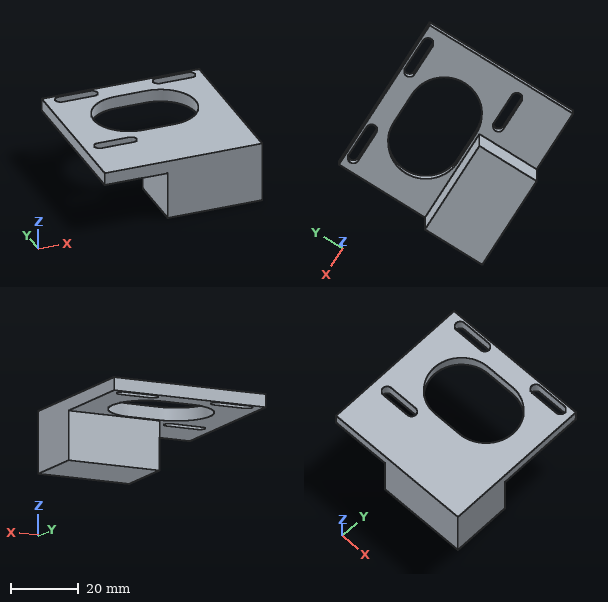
import cadquery as cq

plate_side = 50.0
plate_thickness = 4.0

block_length = 30.0
block_width = 20.0
block_height = 15.0

motor_x = 25.5
motor_y = 32.0
travel = 10.0
bore_diameter = 22.3
screw_diameter = 3.3
screw_spacing = 31.0


def slot_cutter(x, y, diameter):
    """Round-ended cutter along X that passes through the plate."""
    return (
        cq.Workplane("XY")
        .center(x, y)
        .slot2D(travel + diameter, diameter)
        .extrude(plate_thickness)
    )


plate = cq.Workplane("XY").box(plate_side, plate_side, plate_thickness, centered=False)

block = (
    cq.Workplane("XY")
    .box(block_length, block_width, block_height, centered=False)
    .translate((plate_side - block_length, 0, -block_height))
)

result = plate.union(block)
result = result.cut(slot_cutter(motor_x, motor_y, bore_diameter))

half_spacing = screw_spacing / 2
for side_x, side_y in [(-1, -1), (-1, 1), (1, 1)]:
    screw_x = motor_x + side_x * half_spacing
    screw_y = motor_y + side_y * half_spacing
    result = result.cut(slot_cutter(screw_x, screw_y, screw_diameter))